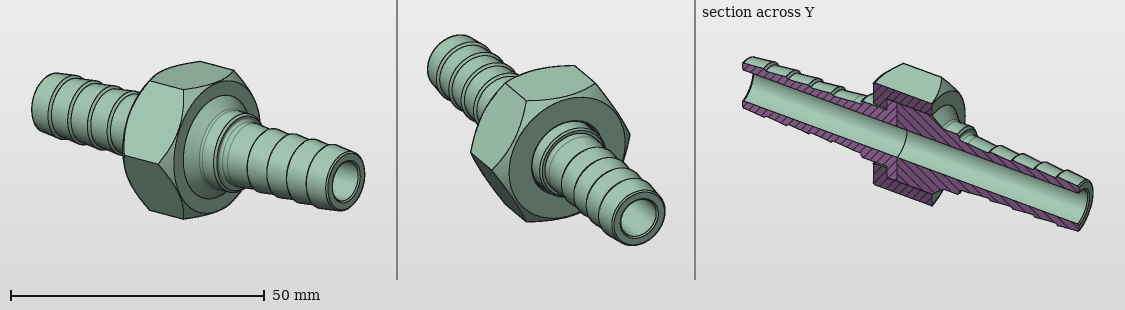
import cadquery as cq
import math

LENGTH = 76.0
BORE_DIA = 8.0
BORE_CHAMFER = 0.3

TIP_DIA = 11.4
TIP_CHAMFER = 0.3
CREST_DIA = 13.0
FIRST_CREST = 4.9
BARB_PITCH = 5.055
BARB_STEP = 0.45
STEPPED_BARBS = 4
VALLEY_DIA = TIP_DIA + 2 * TIP_CHAMFER

NUT_START = 29.5
NUT_END = 42.9
ACROSS_FLATS = 27.0
ACROSS_CORNERS = 2 * ACROSS_FLATS / math.sqrt(3)
START_CHAMFER = 2.5
END_CHAMFER = 2.2
LIP_THICKNESS = 3.05
LIP_HOLE_DIA = 15.5
LIP_MOUTH_DIA = 16.0
LIP_CHAMFER = (LIP_MOUTH_DIA - LIP_HOLE_DIA) / 2
SOCKET_DIA = 20.9

LEFT_COLLAR_DIA = 15.0
LEFT_COLLAR_START = 26.75
LEFT_COLLAR_CHAMFER = 0.4
HEAD_START = NUT_START + LIP_THICKNESS
JOINT = 34.95

RIGHT_COLLAR_DIA = 15.95
CONE_LENGTH = (SOCKET_DIA - RIGHT_COLLAR_DIA) / 2
CONE_FILLET = 0.75
RIGHT_COLLAR_END = 49.0
RIGHT_COLLAR_CHAMFER = 0.45
NECK_FILLET = 0.6


def barb_profile():
    """(distance from the outer end, radius) points from the tip to the neck."""
    points = [(0, TIP_DIA / 2), (TIP_CHAMFER, VALLEY_DIA / 2)]
    for barb in range(STEPPED_BARBS):
        crest = FIRST_CREST + barb * BARB_PITCH
        points += [(crest, CREST_DIA / 2), (crest + BARB_STEP, VALLEY_DIA / 2)]
    points.append((FIRST_CREST + STEPPED_BARBS * BARB_PITCH, CREST_DIA / 2))
    return points


def bored_tail(outline, outer_face):
    """Revolve an outline about X, bore it through and chamfer the bore mouth."""
    tail = outline.close().revolve(360, (0, 0, 0), (1, 0, 0))
    bore = cq.Workplane("YZ").circle(BORE_DIA / 2).extrude(LENGTH)
    mouth_edge = cq.selectors.RadiusNthSelector(0)
    return tail.cut(bore).faces(outer_face).edges(mouth_edge).chamfer(BORE_CHAMFER)


def make_left_tail():
    collar = LEFT_COLLAR_DIA / 2
    points = [(0, 0)] + barb_profile()
    points += [
        (LEFT_COLLAR_START, CREST_DIA / 2),
        (LEFT_COLLAR_START, collar - LEFT_COLLAR_CHAMFER),
        (LEFT_COLLAR_START + LEFT_COLLAR_CHAMFER, collar),
        (HEAD_START, collar),
        (HEAD_START, SOCKET_DIA / 2),
        (JOINT, SOCKET_DIA / 2),
        (JOINT, 0),
    ]
    return bored_tail(cq.Workplane("XY").polyline(points), "<X")


def make_right_tail():
    collar = RIGHT_COLLAR_DIA / 2
    neck = CREST_DIA / 2
    cone_end = NUT_END + CONE_LENGTH
    tangent_length = CONE_FILLET * math.tan(math.radians(45 / 2))
    slope_offset = tangent_length * math.cos(math.radians(45))
    fillet_end = cone_end + tangent_length
    fillet_mid = (
        fillet_end - CONE_FILLET * math.sin(math.radians(45 / 2)),
        collar + CONE_FILLET * (1 - math.cos(math.radians(45 / 2))),
    )
    neck_fillet_mid = (
        RIGHT_COLLAR_END + NECK_FILLET * (1 - math.cos(math.radians(45))),
        neck + NECK_FILLET * (1 - math.sin(math.radians(45))),
    )
    barbs = [(LENGTH - distance, radius) for distance, radius in reversed(barb_profile())]
    outline = (
        cq.Workplane("XY")
        .moveTo(JOINT, 0)
        .lineTo(JOINT, SOCKET_DIA / 2)
        .lineTo(NUT_END, SOCKET_DIA / 2)
        .lineTo(cone_end - slope_offset, collar + slope_offset)
        .threePointArc(fillet_mid, (fillet_end, collar))
        .lineTo(RIGHT_COLLAR_END - RIGHT_COLLAR_CHAMFER, collar)
        .lineTo(RIGHT_COLLAR_END, collar - RIGHT_COLLAR_CHAMFER)
        .lineTo(RIGHT_COLLAR_END, neck + NECK_FILLET)
        .threePointArc(neck_fillet_mid, (RIGHT_COLLAR_END + NECK_FILLET, neck))
    )
    for x, radius in barbs:
        outline = outline.lineTo(x, radius)
    return bored_tail(outline.lineTo(LENGTH, 0), ">X")


def make_nut():
    corner = ACROSS_CORNERS / 2
    hexagon = (
        cq.Workplane("YZ", origin=(NUT_START, 0, 0))
        .polygon(6, ACROSS_CORNERS)
        .extrude(NUT_END - NUT_START)
    )
    envelope = (
        cq.Workplane("XY")
        .polyline([
            (NUT_START, 0),
            (NUT_START, corner - START_CHAMFER),
            (NUT_START + START_CHAMFER, corner),
            (NUT_END - END_CHAMFER, corner),
            (NUT_END, corner - END_CHAMFER),
            (NUT_END, 0),
        ])
        .close()
        .revolve(360, (0, 0, 0), (1, 0, 0))
    )
    hole = (
        cq.Workplane("XY")
        .polyline([
            (NUT_START, 0),
            (NUT_START, LIP_MOUTH_DIA / 2),
            (NUT_START + LIP_CHAMFER, LIP_HOLE_DIA / 2),
            (HEAD_START, LIP_HOLE_DIA / 2),
            (HEAD_START, SOCKET_DIA / 2),
            (NUT_END, SOCKET_DIA / 2),
            (NUT_END, 0),
        ])
        .close()
        .revolve(360, (0, 0, 0), (1, 0, 0))
    )
    return hexagon.intersect(envelope).cut(hole)


left_tail = make_left_tail()
right_tail = make_right_tail()
nut = make_nut()

result = cq.Compound.makeCompound([left_tail.val(), right_tail.val(), nut.val()])